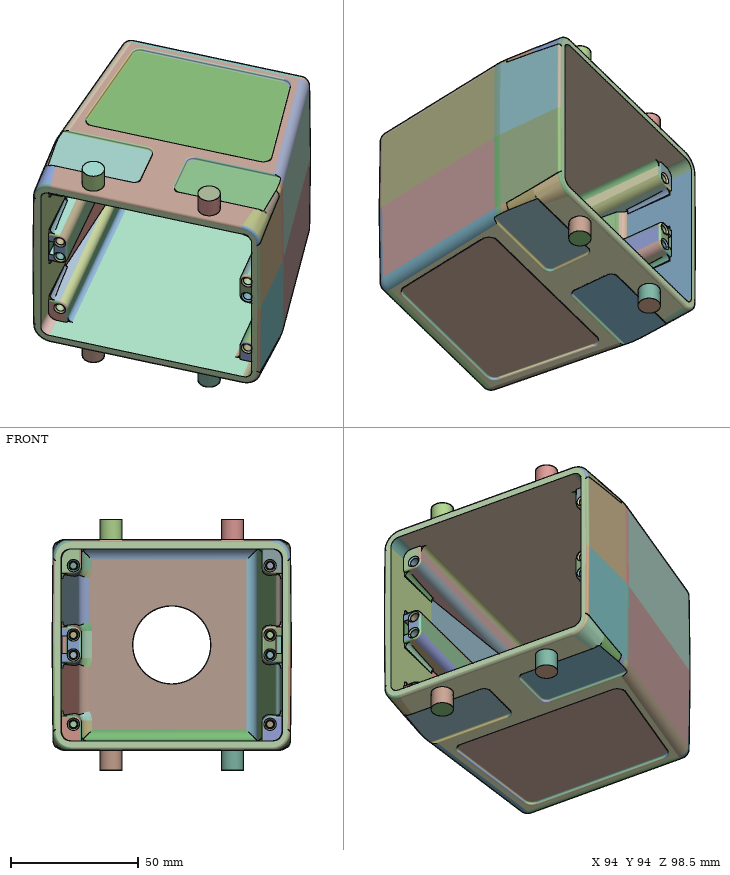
import cadquery as cq
import math

length = 94.0
half_width = 47.0
half_height = 41.4
mould_draft = 0.5
bend_y = 29.9
side_taper = 7.6
bend_radius = 21.7
edge_radius = 4.0
rim_radius = 1.1

flare_length = 25.6
flare_radius = 7.4

rim_half_width = 43.4
cavity_half_height = 37.6
cavity_draft = 1.3
cavity_depth = 90.3
mouth_corner_radius = 3.6
floor_radius = 4.2
left_taper = 6.4
right_taper = 7.7
step_y = 32.5
step_width = 2.0
step_run = 2.4
step_radius = 3.0
cable_hole_diameter = 30.5

boss_face_y = 9.3
boss_edge_radius = 0.8
boss_radius = 3.2
boss_foot_radius = 2.0
boss_draft = 1.0
screw_x = 38.6
corner_screw_z = 31.1
centre_screw_z = 3.9
screw_rim_diameter = 4.8
screw_mouth_diameter = 3.5
screw_tip_diameter = 2.8
screw_depth = 14.8
notch_half_height = 3.4
notch_inner_x = 41.0
notch_depth = 9.85
notch_floor_radius = 0.8

pin_diameter = 8.8
pin_x = 23.8
pin_y = 6.5
pin_tip_z = 49.25

recess_depth = 1.1
recess_edge_radius = 0.5
label_front_y = 38.5
label_back_y = 87.9
label_inset = 6.7
label_radius = 3.9
grip_front_y = 11.7
grip_back_y = 33.5
grip_inner_x = 6.6
grip_radius = 3.2

overrun = 19.7
boss_inner_x = screw_x - boss_radius
side_slope = math.tan(math.radians(side_taper))


def outer_x(y):
    """Half width of the tapered outside at depth y."""
    return half_width - (y - bend_y) * side_slope


def wall_x(y):
    """Half width of the cavity at depth y, in front of the bend."""
    return rim_half_width - y * math.tan(math.radians(cavity_draft))


def mirror_xz(solid):
    """The solid together with its copies across x = 0 and z = 0."""
    pair = solid.union(solid.mirror("YZ"))
    return pair.union(pair.mirror("XY"))


def outer_body():
    bend_tangent = bend_radius * math.tan(math.radians(side_taper / 2))
    bend_start = bend_y - bend_tangent
    bend_end = bend_y + bend_tangent * math.cos(math.radians(side_taper))
    half_turn = math.radians(side_taper / 2)
    bend_mid_x = half_width - bend_radius * (1 - math.cos(half_turn))
    bend_mid_y = bend_start + bend_radius * math.sin(half_turn)
    back_x = outer_x(length)
    half = (
        cq.Workplane("XY")
        .moveTo(half_width, -overrun)
        .lineTo(half_width, bend_start)
        .threePointArc((bend_mid_x, bend_mid_y), (outer_x(bend_end), bend_end))
        .lineTo(back_x, length)
        .lineTo(-back_x, length)
        .lineTo(-outer_x(bend_end), bend_end)
        .threePointArc((-bend_mid_x, bend_mid_y), (-half_width, bend_start))
        .lineTo(-half_width, -overrun)
        .close()
        .extrude(half_height, taper=mould_draft)
    )
    back_corners = half.edges("not(#Z or |Y)").edges(">Y").vals()
    top_edges = half.edges(">Z").edges("not <Y").vals()
    half = half.newObject(top_edges + back_corners).fillet(edge_radius)
    body = half.union(half.mirror("XY"))
    ahead_of_rim = cq.Workplane("XZ").rect(4 * half_width, 4 * half_height).extrude(2 * overrun)
    body = body.cut(ahead_of_rim).cut(flared_corners())
    return body.faces("<Y").edges().fillet(rim_radius)


def flared_corners():
    """What the four opened-out corners remove, shrinking from the rim inwards."""
    side = half_width - half_height * math.tan(math.radians(mould_draft))
    flare_sections = [
        (0.0, flare_radius),
        (0.5 * flare_length, 0.5 * flare_radius + 0.5 * edge_radius - 0.2),
        (flare_length, edge_radius),
    ]
    wires = []
    for y, radius in flare_sections:
        diagonal = radius * (1 - math.sqrt(0.5))
        section = (
            cq.Workplane("XZ", origin=(0, y, 0))
            .moveTo(side, half_height - radius)
            .threePointArc((side - diagonal, half_height - diagonal), (side - radius, half_height))
            .lineTo(side - radius, half_height + 1)
            .lineTo(side + 1, half_height + 1)
            .lineTo(side + 1, half_height - radius)
            .close()
        )
        wires.append(section.val())
    corner = cq.Workplane(cq.Solid.makeLoft(wires, True))
    return mirror_xz(corner)


def cavity_space():
    """Hollow with a straight mouth, then sides closing in towards the floor."""
    step_start = step_y - step_run / 2
    step_end = step_y + step_run / 2
    step_x = wall_x(step_start) - step_width
    left_rise = (cavity_depth - bend_y) * math.tan(math.radians(left_taper))
    right_rise = (cavity_depth - step_end) * math.tan(math.radians(right_taper))
    space = (
        cq.Workplane("XY")
        .workplane(offset=-cavity_half_height)
        .polyline([
            (-wall_x(boss_face_y), boss_face_y),
            (wall_x(boss_face_y), boss_face_y),
            (wall_x(step_start), step_start),
            (step_x, step_end),
            (step_x - right_rise, cavity_depth),
            (left_rise - wall_x(bend_y), cavity_depth),
            (-wall_x(bend_y), bend_y),
        ])
        .close()
        .extrude(2 * cavity_half_height)
    )
    step_edges = cq.selectors.BoxSelector(
        (0, step_start - 1, -cavity_half_height), (half_width, step_end + 1, cavity_half_height)
    )
    space = space.edges("|Z").edges(step_edges).fillet(step_radius)
    space = space.faces(">Y").edges().fillet(floor_radius)
    mouth = (
        cq.Workplane("XY")
        .workplane(offset=-cavity_half_height)
        .polyline([
            (-rim_half_width, 0),
            (rim_half_width, 0),
            (wall_x(boss_face_y), boss_face_y),
            (-wall_x(boss_face_y), boss_face_y),
        ])
        .close()
        .extrude(2 * cavity_half_height)
    )
    mouth = mouth.edges("#Z and (not |X)").fillet(mouth_corner_radius)
    return space.intersect(space_between_bosses()).union(mouth)


def boss_block(bottom_z, top_z):
    """One boss reaching from inside the side wall to its inner face."""
    outer_end = half_width + overrun
    boss_length = cavity_depth + overrun - boss_face_y
    spread = boss_length * math.tan(math.radians(boss_draft))
    block = (
        cq.Workplane("YZ", origin=(boss_inner_x, boss_face_y, 0))
        .polyline([
            (0, bottom_z),
            (0, top_z),
            (boss_length, top_z + spread),
            (boss_length, bottom_z - spread),
        ])
        .close()
        .extrude(outer_end - boss_inner_x)
        .faces("<X")
        .edges("not |Z")
        .fillet(boss_radius)
    )
    return block.faces("<Y").edges().fillet(boss_edge_radius)


def space_between_bosses():
    """Room left free by the bosses, which flare where they meet the floor."""
    corner = boss_block(corner_screw_z - boss_radius, half_height + overrun)
    centre = boss_block(-centre_screw_z - boss_radius, centre_screw_z + boss_radius)
    room = cq.Workplane("XZ").rect(2.5 * half_width, 2.5 * half_height).extrude(-cavity_depth)
    room = room.cut(mirror_xz(corner.union(centre)))
    return room.faces(">Y").edges().fillet(floor_radius)


def boss_foot(corner_x, corner_z, side_x, side_z, end_y):
    """Concave strip filling an inner corner, on the side_x and side_z side of it."""
    r = boss_foot_radius
    bite = 1.0
    inset = r * (1 - math.sqrt(0.5))
    return (
        cq.Workplane("XZ", origin=(corner_x, boss_face_y + boss_edge_radius, corner_z))
        .moveTo(-side_x * bite, -side_z * bite)
        .lineTo(side_x * r, -side_z * bite)
        .lineTo(side_x * r, 0)
        .threePointArc((side_x * inset, side_z * inset), (0, side_z * r))
        .lineTo(-side_x * bite, side_z * r)
        .close()
        .extrude(-(end_y - boss_face_y - boss_edge_radius))
    )


def boss_feet():
    """Strips where the bosses stand on the side walls and beside the top and bottom walls."""
    corner = boss_foot(wall_x(bend_y), corner_screw_z - boss_radius, -1, -1, bend_y)
    centre = boss_foot(wall_x(bend_y), centre_screw_z + boss_radius, -1, 1, bend_y)
    beside = boss_foot(boss_inner_x, cavity_half_height, -1, -1, cavity_depth)
    return mirror_xz(corner.union(centre).union(beside))


def boss_notches():
    """Pocket behind the screw holes of each centre boss, against the wall."""
    notch_width = wall_x(boss_face_y + notch_depth) - notch_inner_x
    notch = (
        cq.Workplane("XY")
        .box(notch_width, notch_depth, 2 * notch_half_height, centered=(False, False, True))
        .translate((notch_inner_x, boss_face_y, 0))
        .edges(">Y and <X")
        .fillet(notch_floor_radius)
    )
    return notch.union(notch.mirror("YZ"))


def screw_hole(z):
    """Countersunk blind hole narrowing slightly towards its tip."""
    sink_radius = screw_rim_diameter / 2
    mouth_radius = screw_mouth_diameter / 2
    countersink = sink_radius - mouth_radius
    return (
        cq.Workplane("XY", origin=(screw_x, boss_face_y, z))
        .polyline([
            (0, 0),
            (sink_radius, 0),
            (mouth_radius, countersink),
            (screw_tip_diameter / 2, screw_depth),
            (0, screw_depth),
        ])
        .close()
        .revolve(360, (0, 0, 0), (0, 1, 0))
    )


def locking_pins():
    pin_length = pin_tip_z - cavity_half_height - 1
    pin = (
        cq.Workplane("XY", origin=(pin_x, pin_y, pin_tip_z))
        .circle(pin_diameter / 2)
        .extrude(-pin_length)
    )
    return mirror_xz(pin)


def rounded_recess(panel):
    """Cutter for a panel, with its floor edge and its rim rounded."""
    slab = (
        cq.Workplane("XY", origin=(0, length / 2, half_height))
        .rect(2 * half_width + overrun, length + overrun)
        .extrude(-recess_depth)
    )
    panel = panel.faces("<Z").edges().fillet(recess_edge_radius)
    frame = slab.cut(panel)
    opening = cq.selectors.BoxSelector(
        (-half_width, 0, half_height - recess_edge_radius / 2),
        (half_width, length, half_height + recess_edge_radius / 2),
    )
    return slab.cut(frame.edges(opening).fillet(recess_edge_radius))


def label_recess():
    front_y = label_front_y + recess_edge_radius
    back_y = label_back_y - recess_edge_radius
    inset = label_inset + recess_edge_radius
    front_x = outer_x(front_y) - inset
    back_x = outer_x(back_y) - inset
    panel = (
        cq.Workplane("XY", origin=(0, 0, half_height))
        .polyline([(-front_x, front_y), (front_x, front_y), (back_x, back_y), (-back_x, back_y)])
        .close()
        .extrude(-recess_depth)
        .edges("not #Z")
        .fillet(label_radius - recess_edge_radius)
    )
    return rounded_recess(panel)


def grip_recess():
    """Panel running out through the +X side."""
    front_y = grip_front_y + recess_edge_radius
    back_y = grip_back_y - recess_edge_radius
    inner_x = grip_inner_x + recess_edge_radius
    panel = (
        cq.Workplane("XY", origin=(inner_x, front_y, half_height))
        .rect(half_width + overrun - inner_x, back_y - front_y, centered=False)
        .extrude(-recess_depth)
        .edges("|Z and <X")
        .fillet(grip_radius - recess_edge_radius)
    )
    return rounded_recess(panel)


cable_hole = cq.Workplane("XZ").circle(cable_hole_diameter / 2).extrude(-length - overrun)
recesses = mirror_xz(label_recess().union(grip_recess()))
screw_holes = mirror_xz(screw_hole(corner_screw_z).union(screw_hole(centre_screw_z)))

body = outer_body().cut(recesses)
body = body.cut(cavity_space()).union(boss_feet())
body = body.cut(boss_notches()).cut(screw_holes).cut(cable_hole)
result = body.union(locking_pins())